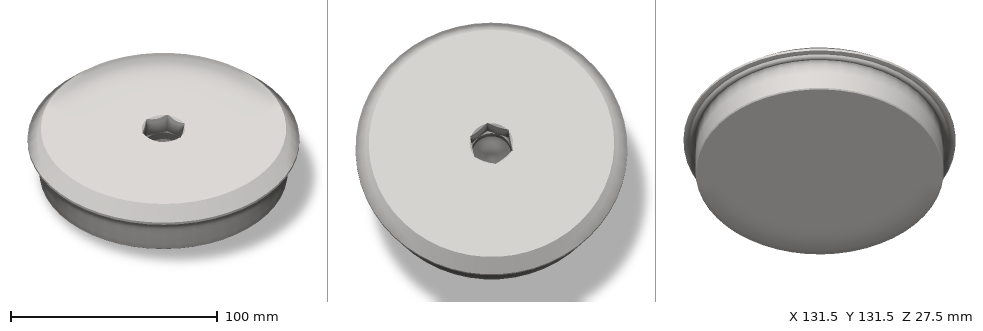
import cadquery as cq
import math

flange_diameter = 131.5
plug_diameter = 120.0
height = 27.5
flange_thickness = 7.8
flange_chamfer = 6.5
plug_bottom_chamfer = 0.5

ring_outer_diameter = 126.0
ring_section_diameter = 3.5
flange_underside = height - flange_thickness
ring_center_radius = (ring_outer_diameter - ring_section_diameter) / 2
ring_projection = 1.5
ring_center_z = flange_underside - ring_projection + ring_section_diameter / 2

hex_across_flats = 19.0
hex_depth = 10.0
bore_depth = 4.0
countersink_diameter = 21.0
countersink_half_angle = 45.0
drill_point_angle = 120.0


def revolve_about_z(outline):
    """Turn a closed XZ outline one full revolution about the Z axis."""
    return outline.close().revolve(360, (0, 0, 0), (0, 1, 0))


def make_ring():
    section = cq.Workplane("XZ").center(ring_center_radius, ring_center_z).circle(ring_section_diameter / 2)
    return section.revolve(360, (-ring_center_radius, 0, 0), (-ring_center_radius, 1, 0))


def make_blank():
    """Plug and flange without the socket."""
    plug = cq.Workplane("XY").circle(plug_diameter / 2).extrude(flange_underside)
    plug = plug.faces("<Z").edges().chamfer(plug_bottom_chamfer)
    flange = cq.Workplane("XY", origin=(0, 0, flange_underside))
    flange = flange.circle(flange_diameter / 2).extrude(flange_thickness)
    flange = flange.faces(">Z").edges().chamfer(flange_chamfer)
    return plug.union(flange)


def make_socket():
    """Hexagon recess with its countersunk mouth and the drilled bore below."""
    floor_z = height - hex_depth
    hex_corner_diameter = hex_across_flats / math.cos(math.radians(30))
    hexagon = cq.Workplane("XY", origin=(0, 0, floor_z)).polygon(6, hex_corner_diameter).extrude(hex_depth)

    countersink_radius = countersink_diameter / 2
    countersink_depth = countersink_radius / math.tan(math.radians(countersink_half_angle))
    countersink = revolve_about_z(
        cq.Workplane("XZ")
        .moveTo(0, height)
        .lineTo(countersink_radius, height)
        .lineTo(0, height - countersink_depth)
    )

    bore_radius = hex_across_flats / 2
    bore_bottom = floor_z - bore_depth
    point_depth = bore_radius / math.tan(math.radians(drill_point_angle / 2))
    bore = revolve_about_z(
        cq.Workplane("XZ")
        .moveTo(0, floor_z)
        .lineTo(bore_radius, floor_z)
        .lineTo(bore_radius, bore_bottom)
        .lineTo(0, bore_bottom - point_depth)
    )
    return hexagon.union(countersink).union(bore)


sealing_ring = make_ring()
plug = make_blank().cut(make_socket()).cut(sealing_ring)

result = cq.Compound.makeCompound([plug.val(), sealing_ring.val()])